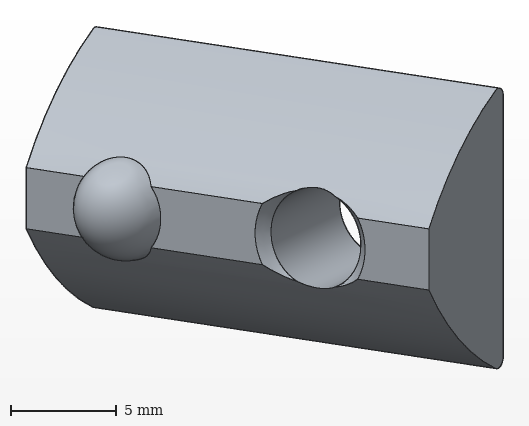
import cadquery as cq
import math

length = 22.0
body_depth = 7.0
height = 13.7
front_flat_height = 3.0
corner_radius = 0.5
shoulder_angle = math.radians(25.7)

ball_diameter = 5.0
ball_x = 5.0
overall_depth = 8.7

hole_diameter = 4.9
hole_x = 15.5
countersink_diameter = 6.0


def corner_point(angle):
    """Point (Y, Z) on the upper corner round; angle turns from +Z towards -Y."""
    y = -corner_radius - corner_radius * math.sin(angle)
    z = height / 2 - corner_radius + corner_radius * math.cos(angle)
    return y, z


def mirrored(point):
    return point[0], -point[1]


def make_body():
    """Bow-shaped section with convex flanks tangent to the corner rounds."""
    back_top = corner_point(-math.pi / 2)
    corner_middle = corner_point((shoulder_angle - math.pi / 2) / 2)
    flank_start = corner_point(shoulder_angle)
    flat_top = (-body_depth, front_flat_height / 2)

    tangent = (-math.cos(shoulder_angle), -math.sin(shoulder_angle))
    run = flank_start[0] - flat_top[0]
    drop = flank_start[1] - flat_top[1]
    half_sweep = math.atan2(drop, run) - shoulder_angle
    flank_radius = math.hypot(run, drop) / (2 * math.sin(half_sweep))
    along = flank_radius * math.sin(half_sweep)
    bend = flank_radius * (1 - math.cos(half_sweep))
    flank_middle = (
        flank_start[0] + along * tangent[0] - bend * tangent[1],
        flank_start[1] + along * tangent[1] + bend * tangent[0],
    )

    return (
        cq.Workplane("YZ")
        .moveTo(*back_top)
        .threePointArc(corner_middle, flank_start)
        .threePointArc(flank_middle, flat_top)
        .lineTo(*mirrored(flat_top))
        .threePointArc(mirrored(flank_middle), mirrored(flank_start))
        .threePointArc(mirrored(corner_middle), mirrored(back_top))
        .close()
        .extrude(length)
    )


def make_ball():
    """Ball seated in the front flat, standing proud of it."""
    center_y = ball_diameter / 2 - overall_depth
    return cq.Workplane("XY").sphere(ball_diameter / 2).translate((ball_x, center_y, 0))


def make_hole():
    """Through hole with a 45 degree countersink at the front flat."""
    through = cq.Solid.makeCylinder(
        hole_diameter / 2, body_depth, cq.Vector(hole_x, 0, 0), cq.Vector(0, -1, 0)
    )
    sink_depth = (countersink_diameter - hole_diameter) / 2
    countersink = cq.Solid.makeCone(
        countersink_diameter / 2,
        hole_diameter / 2,
        sink_depth,
        cq.Vector(hole_x, -body_depth, 0),
        cq.Vector(0, 1, 0),
    )
    return cq.Workplane("XY").add(through).union(cq.Workplane("XY").add(countersink))


result = make_body().union(make_ball()).cut(make_hole())